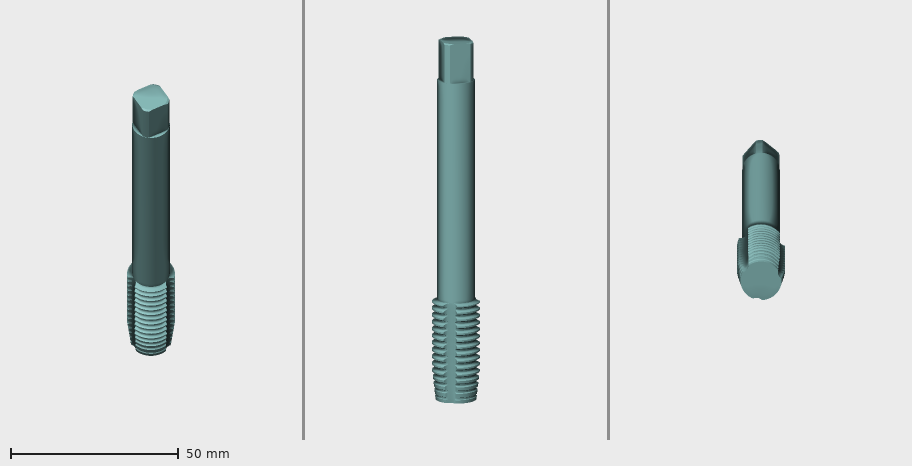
import cadquery as cq
import math

total_length = 110.0

pitch = 25.4 / 12
major_radius = 7.15
minor_radius = 5.9
flank_slope = math.tan(math.radians(25))
crest_width = 0.5
top_crest_z = 30.0
top_crest_upper_height = 0.08
run_out_height = 0.55
groove_count = 14
lead_length = 9.0
lead_tip_radius = 6.1

flute_count = 3
flute_floor_radius = 5.5
flute_half_width = 2.08
first_flute_angle = -90.0

shank_radius = 5.6
square_width = 9.0
square_length = 12.0
square_corner_radius = 5.5
tip_chamfer_radial = 0.6
tip_chamfer_axial = 0.3

full_crest_top_z = top_crest_z + top_crest_upper_height
head_top_z = full_crest_top_z + run_out_height

groove_mouth_half_width = (pitch - crest_width) / 2
groove_root_half_width = groove_mouth_half_width - (major_radius - minor_radius) * flank_slope
groove_overcut = 0.5
groove_outer_radius = major_radius + groove_overcut
groove_outer_half_width = groove_mouth_half_width + groove_overcut * flank_slope

flute_edge_radius = math.sqrt(major_radius**2 - flute_half_width**2)
flute_depth = flute_edge_radius - flute_floor_radius
flute_arc_radius = (flute_half_width**2 + flute_depth**2) / (2 * flute_depth)
flute_axis_radius = flute_floor_radius + flute_arc_radius


def make_head_blank():
    """Revolved head with a tapered lead and a conical upper end."""
    return (
        cq.Workplane("XZ")
        .moveTo(0, 0)
        .lineTo(lead_tip_radius, 0)
        .lineTo(major_radius, lead_length)
        .lineTo(major_radius, full_crest_top_z)
        .lineTo(shank_radius, head_top_z)
        .lineTo(0, head_top_z)
        .close()
        .revolve(360, (0, 0, 0), (0, 1, 0))
    )


def make_thread_groove(center_z):
    """Ring-shaped V groove with a flat root."""
    return (
        cq.Workplane("XZ")
        .moveTo(minor_radius, center_z - groove_root_half_width)
        .lineTo(groove_outer_radius, center_z - groove_outer_half_width)
        .lineTo(groove_outer_radius, center_z + groove_outer_half_width)
        .lineTo(minor_radius, center_z + groove_root_half_width)
        .close()
        .revolve(360, (0, 0, 0), (0, 1, 0))
    )


def make_flute(angle):
    """Straight round-bottomed flute along the whole head."""
    return (
        cq.Workplane("XY")
        .center(
            flute_axis_radius * math.cos(math.radians(angle)),
            flute_axis_radius * math.sin(math.radians(angle)),
        )
        .circle(flute_arc_radius)
        .extrude(head_top_z)
    )


def make_head():
    """Threaded and fluted cutting head."""
    head = make_head_blank()
    for index in range(groove_count):
        head = head.cut(make_thread_groove(top_crest_z - (index + 0.5) * pitch))
    for index in range(flute_count):
        head = head.cut(make_flute(first_flute_angle + index * 360 / flute_count))
    return head


def make_shank():
    """Plain cylinder carrying a driving square with rounded corners and a bevelled tip."""
    shoulder_z = total_length - square_length
    tip_radius = square_corner_radius - tip_chamfer_radial
    turned_shank = (
        cq.Workplane("XZ")
        .moveTo(0, head_top_z)
        .lineTo(shank_radius, head_top_z)
        .lineTo(shank_radius, shoulder_z)
        .lineTo(square_corner_radius, shoulder_z)
        .lineTo(square_corner_radius, total_length - tip_chamfer_axial)
        .lineTo(tip_radius, total_length)
        .lineTo(0, total_length)
        .close()
        .revolve(360, (0, 0, 0), (0, 1, 0))
    )
    square_waste = (
        cq.Workplane("XY")
        .workplane(offset=shoulder_z)
        .circle(2 * shank_radius)
        .rect(square_width, square_width)
        .extrude(square_length)
    )
    return turned_shank.cut(square_waste)


head = make_head()
shank = make_shank()

result = cq.Compound.makeCompound([head.val(), shank.val()])